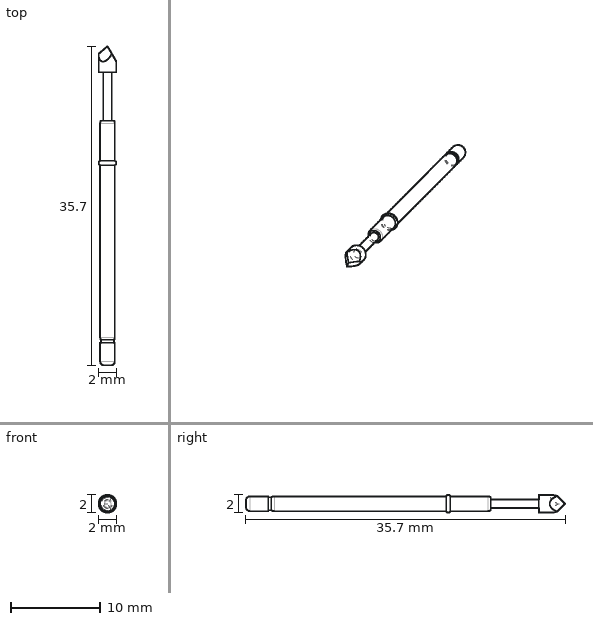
import cadquery as cq
import math

length = 35.7
tip_y = length / 2

head_radius = 1.0
head_back = 2.93
facet_count = 3
facet_slope = math.radians(60)

plunger_radius = 0.5

barrel_radius = 1.68 / 2
barrel_front = 8.32
tail_fillet = 0.45

crimp_length = 0.32
crimp_drop = 0.1
crimp_arc_radius = (crimp_length**2 + crimp_drop**2) / (2 * crimp_drop)
crimped_radius = barrel_radius - crimp_drop

ring_station = 13.05
ring_radius = head_radius
ring_half_width = 0.232

groove_front = 32.85
groove_back = 33.15


def point(radius, station):
    """Profile point at a radius and a distance behind the tip."""
    return (radius, tip_y - station)


def rod(radius, front, back):
    """Cylinder about the Y axis between two stations."""
    plane = cq.Plane(origin=(0, tip_y - back, 0), xDir=(1, 0, 0), normal=(0, 1, 0))
    return cq.Workplane(plane).circle(radius).extrude(back - front)


def facet_cutter(angle):
    """Wedge of material outside one facet, turned about Y from the +X direction."""
    reach = 2 * head_radius
    drop = reach * math.tan(facet_slope)
    wedge = (
        cq.Workplane("XY")
        .polyline([point(0, 0), point(reach, 0), point(reach, drop)])
        .close()
        .extrude(reach, both=True)
    )
    return wedge.rotate((0, 0, 0), (0, 1, 0), angle)


def faceted_head():
    """Round head with one facet toward +X and one ridge toward -X."""
    head = rod(head_radius, 0, head_back)
    for index in range(facet_count):
        head = head.cut(facet_cutter(index * 360 / facet_count))
    return head


def barrel():
    """Turned barrel with crimped front, stop ring, groove and rounded tail."""
    profile = (
        cq.Workplane("XY")
        .moveTo(*point(0, barrel_front))
        .lineTo(*point(crimped_radius, barrel_front))
        .radiusArc(point(barrel_radius, barrel_front + crimp_length), crimp_arc_radius)
        .lineTo(*point(barrel_radius, ring_station - ring_half_width))
        .threePointArc(
            point(ring_radius, ring_station),
            point(barrel_radius, ring_station + ring_half_width),
        )
        .lineTo(*point(barrel_radius, groove_front - crimp_length))
        .radiusArc(point(crimped_radius, groove_front), crimp_arc_radius)
        .lineTo(*point(crimped_radius, groove_back))
        .lineTo(*point(barrel_radius, groove_back))
        .lineTo(*point(barrel_radius, length - tail_fillet))
        .radiusArc(point(barrel_radius - tail_fillet, length), tail_fillet)
        .lineTo(*point(0, length))
        .close()
    )
    return profile.revolve(360, (0, 0, 0), (0, 1, 0))


plunger = rod(plunger_radius, head_back, barrel_front)
result = faceted_head().union(plunger).union(barrel())